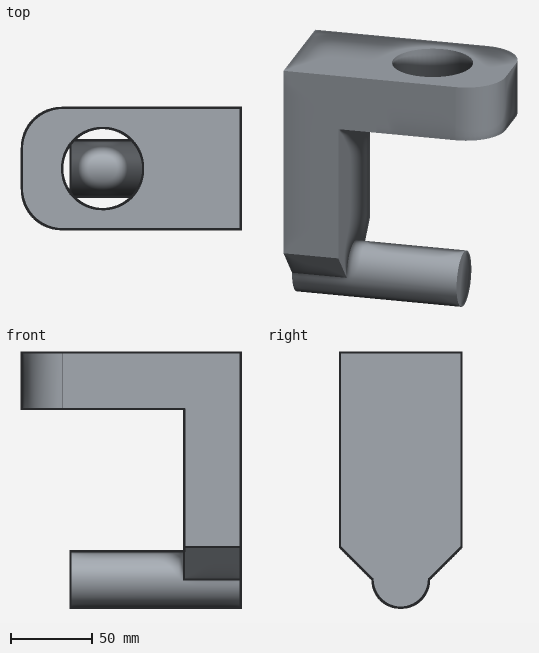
import cadquery as cq

length = 135.0
width = 75.0
height = 157.5

thickness = 35.0
corner_radius = 25.0
hole_diameter = 50.0
hole_setback = 50.0
pin_length = 105.0

pin_radius = thickness / 2
free_end_x = -length / 2
wall_end_x = length / 2
taper_size = width / 2 - pin_radius


def make_arm():
    """Horizontal arm with a rounded free end and a vertical through hole."""
    arm = (
        cq.Workplane("XY", origin=(0, 0, height - thickness))
        .rect(length, width)
        .extrude(thickness)
        .edges("|Z and <X")
        .fillet(corner_radius)
    )
    return (
        arm.faces(">Z").workplane(origin=(free_end_x + hole_setback, 0, height))
        .hole(hole_diameter)
    )


def make_wall():
    """Vertical wall whose lower end tapers to the width of the pin."""
    wall_bottom = pin_radius
    taper_top = wall_bottom + taper_size
    return (
        cq.Workplane("YZ", origin=(wall_end_x - thickness, 0, 0))
        .moveTo(-width / 2, height)
        .lineTo(-width / 2, taper_top)
        .lineTo(-pin_radius, wall_bottom)
        .lineTo(pin_radius, wall_bottom)
        .lineTo(width / 2, taper_top)
        .lineTo(width / 2, height)
        .close()
        .extrude(thickness)
    )


def make_pin():
    """Round pin along X, ending flush with the back of the wall."""
    return (
        cq.Workplane("YZ", origin=(wall_end_x - pin_length, 0, pin_radius))
        .circle(pin_radius)
        .extrude(pin_length)
    )


result = make_arm().union(make_wall()).union(make_pin())